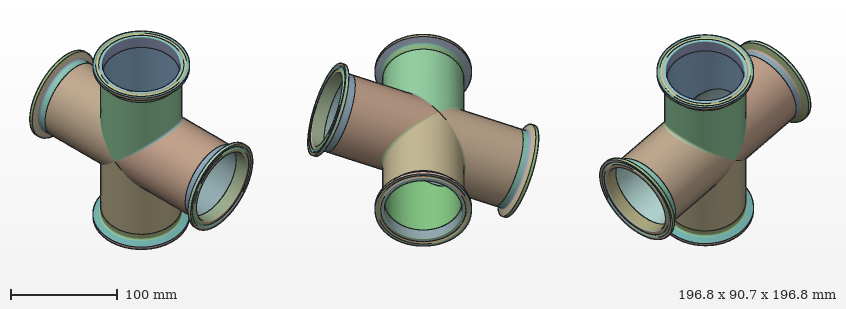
import cadquery as cq
import math

CROSS_SPAN = 196.8
TUBE_RADIUS = 76.2 / 2
BORE_RADIUS = 36.5
CROTCH_RADIUS = 2.5

FERRULE_LENGTH = 12.8
FLANGE_RADIUS = 90.7 / 2
RIM_THICKNESS = 3.1
BACK_ANGLE = 20.0
NECK_FILLET = 2.0
FACE_EDGE_FILLET = 0.5

GROOVE_RADIUS = 41.3
GROOVE_WIDTH = 3.1
GROOVE_DEPTH = 1.2

HALF_SPAN = CROSS_SPAN / 2
TUBE_REACH = HALF_SPAN - FERRULE_LENGTH
BALL_PATH_RADIUS = TUBE_RADIUS + CROTCH_RADIUS
TUBE_PLANES = ("YZ", "XY")
QUARTER_TURNS = (0, 90, 180, 270)
JOIN_TOLERANCE = 0.0001
MATCH_TOLERANCE = 0.02


def turned_about_y(body, angle):
    return body.rotate((0, 0, 0), (0, 1, 0), angle)


def crossing_cylinders(radius):
    """Cylinders along X and Z, joined, both as long as the tubes."""
    along_x, along_z = (
        cq.Workplane(plane).circle(radius).extrude(TUBE_REACH, both=True) for plane in TUBE_PLANES
    )
    return along_x.union(along_z)


def make_crotch_wedge():
    """Wedge along Y, between the planes where the rounding touches the +X and the +Z branch."""
    near = 2 * TUBE_RADIUS
    far = 2 * BALL_PATH_RADIUS
    outline = cq.Workplane("XZ").polyline([(0, 0), (near, far), (far, near)]).close()
    return outline.extrude(far, both=True)


def make_crotch_filling(wedge):
    """Solid metal of the wedge, rounded on its outside.

    A ball that rolls along the crotch touches both branches, and its centre follows an ellipse in
    the plane x = z. The filling is what the ball leaves of the wedge on the inner side of its path.
    """
    path_plane = cq.Plane(origin=(0, 0, 0), xDir=(1, 0, 1), normal=(-1, 0, 1))
    path = cq.Workplane(path_plane).ellipse(BALL_PATH_RADIUS * math.sqrt(2), BALL_PATH_RADIUS)
    block = path.extrude(2 * CROTCH_RADIUS, both=True)

    ball_plane = cq.Plane(origin=(0, BALL_PATH_RADIUS, 0), xDir=(0, 1, 0), normal=(1, 0, 1))
    ball_track = cq.Workplane(ball_plane).circle(CROTCH_RADIUS).sweep(path)
    return block.intersect(wedge).cut(ball_track)


def make_cross():
    """Two crossing tubes, rounded on the outside where they meet."""
    wedge = make_crotch_wedge()
    filling = make_crotch_filling(wedge)
    outside = crossing_cylinders(TUBE_RADIUS)
    for angle in QUARTER_TURNS:
        outside = outside.cut(turned_about_y(wedge, angle))
    for angle in QUARTER_TURNS:
        outside = outside.union(turned_about_y(filling, angle), tol=JOIN_TOLERANCE)
    return outside.cut(crossing_cylinders(BORE_RADIUS))


def revolved_about_z(outline):
    return outline.close().revolve(360, (0, 0, 0), (0, 1, 0))


def circle_edges(body, height, radii):
    """Circular edges about Z of a body, at one height and with the given radii."""
    return body.edges("%CIRCLE").filter(
        lambda edge: abs(edge.Center().z - height) < MATCH_TOLERANCE
        and any(abs(edge.radius() - radius) < MATCH_TOLERANCE for radius in radii)
    )


def make_ferrule():
    """Clamp ferrule about Z, from the tube end up to its flange face."""
    back_drop = (FLANGE_RADIUS - TUBE_RADIUS) * math.tan(math.radians(BACK_ANGLE))
    rim_bottom = HALF_SPAN - RIM_THICKNESS
    neck_top = rim_bottom - back_drop
    groove_inside = GROOVE_RADIUS - GROOVE_WIDTH / 2
    groove_outside = GROOVE_RADIUS + GROOVE_WIDTH / 2

    blank = revolved_about_z(
        cq.Workplane("XZ")
        .moveTo(BORE_RADIUS, TUBE_REACH)
        .lineTo(TUBE_RADIUS, TUBE_REACH)
        .lineTo(TUBE_RADIUS, neck_top)
        .lineTo(FLANGE_RADIUS, rim_bottom)
        .lineTo(FLANGE_RADIUS, HALF_SPAN)
        .lineTo(BORE_RADIUS, HALF_SPAN)
    )
    groove = revolved_about_z(
        cq.Workplane("XZ")
        .moveTo(groove_inside, HALF_SPAN)
        .threePointArc((GROOVE_RADIUS, HALF_SPAN - GROOVE_DEPTH), (groove_outside, HALF_SPAN))
    )
    ferrule = circle_edges(blank, neck_top, [TUBE_RADIUS]).fillet(NECK_FILLET).cut(groove)
    face_edges = circle_edges(ferrule, HALF_SPAN, [BORE_RADIUS, groove_inside, groove_outside])
    return face_edges.fillet(FACE_EDGE_FILLET)


cross = make_cross()
ferrule = make_ferrule()
ferrules = [turned_about_y(ferrule, angle) for angle in QUARTER_TURNS]

result = cq.Compound.makeCompound([cross.val(), *[placed.val() for placed in ferrules]])